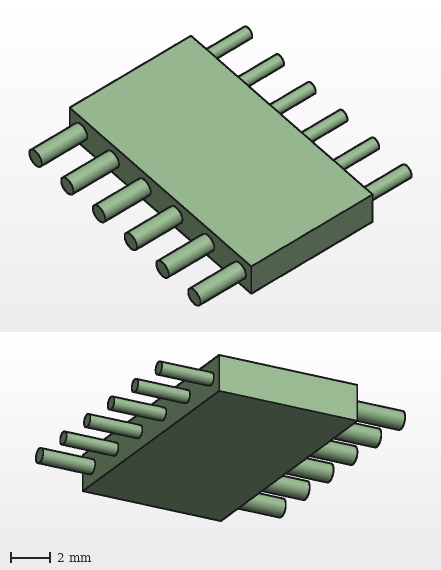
import cadquery as cq

pin_count = 6
pin_pitch = 2.54
side_margin = 0.92
pin_row_length = (pin_count - 1) * pin_pitch
housing_length = pin_row_length + 2 * side_margin
housing_depth = 8.0
housing_height = 2.0

pin_reach = 3.0
front_pin_diameter = 1.0
back_pin_diameter = 0.7
end_pin_diameter = 0.8

front_face_y = -housing_depth / 2
back_face_y = housing_depth / 2
pin_places = [index * pin_pitch - pin_row_length / 2 for index in range(pin_count)]


def make_pin(x, start_y, diameter):
    """Round pin along +Y, starting at start_y."""
    sketch_plane = cq.Workplane("XZ", origin=(x, start_y, 0))
    return sketch_plane.circle(diameter / 2).extrude(-pin_reach)


def make_housing():
    """Block with all the front pins and every back pin but the last."""
    body = cq.Workplane("XY").box(housing_length, housing_depth, housing_height)
    for x in pin_places:
        body = body.union(make_pin(x, front_face_y - pin_reach, front_pin_diameter))
    for x in pin_places[:-1]:
        body = body.union(make_pin(x, back_face_y, back_pin_diameter))
    return body


def make_end_pin():
    """Thicker last back pin, standing on the back face of the housing."""
    return make_pin(pin_places[-1], back_face_y, end_pin_diameter)


housing = make_housing()
end_pin = make_end_pin()

result = cq.Compound.makeCompound([housing.val(), end_pin.val()])